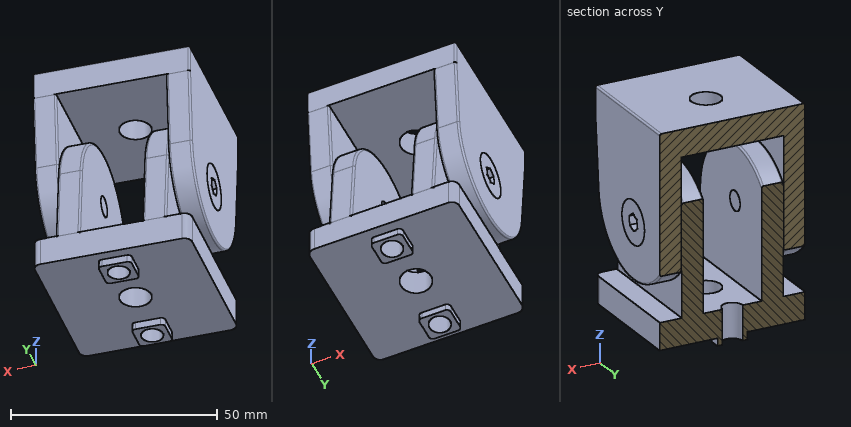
import cadquery as cq
import math


WIDTH = 40.0
HEIGHT = 59.5
PEG_HEIGHT = 2.0

PLATE_THICKNESS = 7.5
CHEEK_THICKNESS = 6.0
CHEEK_RADIUS = 18.4
CHEEK_ARC_OFFSET = 3.1
EDGE_FILLET = 0.5
CENTRE_HOLE_DIAMETER = 8.0

BASE_CORNER_RADIUS = 2.0
PEG_SIZE_X = 8.35
PEG_SIZE_Y = 7.4
PEG_CORNER_RADIUS = 1.0
PEG_SPACING = 27.35
BOLT_HOLE_DIAMETER = 5.5

HEAD_DIAMETER = 11.7
HEAD_THICKNESS = 4.0
SHANK_DIAMETER = 5.3
HEX_ACROSS_FLATS = 4.0
HEX_DEPTH = 3.0
HEX_TURN = 7.0

HALF_WIDTH = WIDTH / 2
HINGE_TO_PLATE_BACK = (HEIGHT - PEG_HEIGHT) / 2
HINGE_TO_PLATE_FACE = HINGE_TO_PLATE_BACK - PLATE_THICKNESS
HINGE_Z = PEG_HEIGHT + HINGE_TO_PLATE_BACK
OUTER_CHEEK_X = HALF_WIDTH - CHEEK_THICKNESS
INNER_CHEEK_X = OUTER_CHEEK_X - CHEEK_THICKNESS
PEG_CENTRES = [(0, -PEG_SPACING / 2), (0, PEG_SPACING / 2)]


def plate():
    """Square plate of a bracket, lying above the hinge axis."""
    base = cq.Workplane("XY", origin=(0, 0, HINGE_TO_PLATE_FACE))
    return base.rect(WIDTH, WIDTH).extrude(PLATE_THICKNESS)


def cheek(inner_x):
    """Cheek hanging from the plate face: sides taper tangentially into the round end."""
    rise = HINGE_TO_PLATE_FACE - CHEEK_ARC_OFFSET
    corner_distance = math.hypot(HALF_WIDTH, rise)
    tangent_angle = math.atan2(rise, HALF_WIDTH) - math.acos(CHEEK_RADIUS / corner_distance)
    tangent_y = CHEEK_RADIUS * math.cos(tangent_angle)
    tangent_z = CHEEK_ARC_OFFSET + CHEEK_RADIUS * math.sin(tangent_angle)
    blank = (
        cq.Workplane("YZ", origin=(inner_x, 0, 0))
        .moveTo(-HALF_WIDTH, HINGE_TO_PLATE_FACE)
        .lineTo(-tangent_y, tangent_z)
        .threePointArc((0, CHEEK_ARC_OFFSET - CHEEK_RADIUS), (tangent_y, tangent_z))
        .lineTo(HALF_WIDTH, HINGE_TO_PLATE_FACE)
        .close()
        .extrude(CHEEK_THICKNESS)
    )
    return blank.faces("<X or >X").edges("not(>Z)").fillet(EDGE_FILLET)


def x_cylinder(diameter, start_x, end_x):
    """Cylinder on the hinge axis between two X positions."""
    return cq.Workplane("YZ", origin=(start_x, 0, 0)).circle(diameter / 2).extrude(end_x - start_x)


def pin_blank():
    """Headed pin of the +X side, flush with both cheeks, without its socket."""
    head = x_cylinder(HEAD_DIAMETER, HALF_WIDTH - HEAD_THICKNESS, HALF_WIDTH)
    shank = x_cylinder(SHANK_DIAMETER, INNER_CHEEK_X, HALF_WIDTH)
    return head.union(shank)


def z_holes(diameter, centres):
    """Cutters running from the hinge axis up through the plate and its pegs."""
    return cq.Workplane("XY").pushPoints(centres).circle(diameter / 2).extrude(HEIGHT)


def fork(base, inner_x):
    """Add a pair of cheeks, bored for the pins, and the centre hole to a plate."""
    bored_cheek = cheek(inner_x).cut(pin_blank())
    body = base.union(bored_cheek).union(bored_cheek.mirror("YZ"))
    return body.cut(z_holes(CENTRE_HOLE_DIAMETER, [(0, 0)]))


def make_upper_bracket():
    top_plate = plate().edges("|Z or >Z").fillet(EDGE_FILLET)
    return fork(top_plate, OUTER_CHEEK_X)


def make_lower_bracket():
    base_plate = plate().edges("|Z").fillet(BASE_CORNER_RADIUS)
    pegs = (
        cq.Workplane("XY", origin=(0, 0, HINGE_TO_PLATE_BACK))
        .pushPoints(PEG_CENTRES)
        .rect(PEG_SIZE_X, PEG_SIZE_Y)
        .extrude(PEG_HEIGHT)
        .edges("|Z")
        .fillet(PEG_CORNER_RADIUS)
    )
    body = fork(base_plate, INNER_CHEEK_X).union(pegs)
    body = body.cut(z_holes(BOLT_HOLE_DIAMETER, PEG_CENTRES))
    return body.rotate((0, 0, 0), (1, 0, 0), 180)


def make_pin(side):
    """Pin with a hexagon socket; side is +1 for the +X end and -1 for the -X end."""
    socket = (
        cq.Workplane("YZ", origin=(HALF_WIDTH - HEX_DEPTH, 0, 0))
        .polygon(6, HEX_ACROSS_FLATS, circumscribed=True)
        .extrude(HEX_DEPTH)
        .rotate((0, 0, 0), (1, 0, 0), HEX_TURN)
    )
    pin = pin_blank().cut(socket)
    return pin if side > 0 else pin.mirror("YZ")


def lift(body):
    """Solid of a body, raised from the origin to the hinge height."""
    return body.translate((0, 0, HINGE_Z)).val()


upper_bracket = lift(make_upper_bracket())
lower_bracket = lift(make_lower_bracket())
pins = [lift(make_pin(side)) for side in (-1, 1)]

result = cq.Compound.makeCompound([upper_bracket, lower_bracket, *pins])